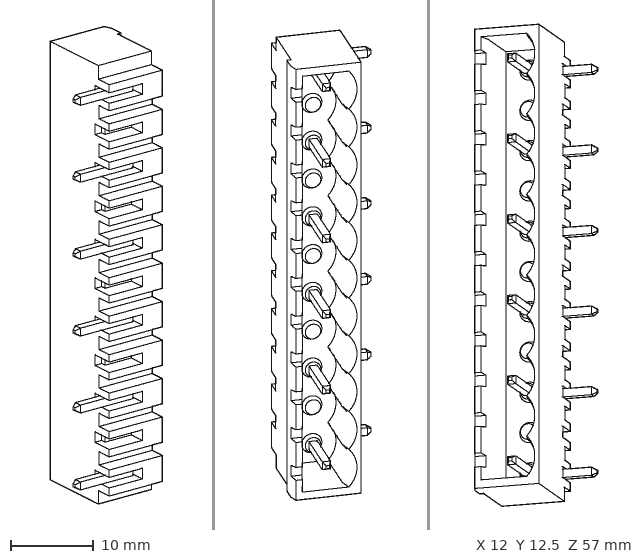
import cadquery as cq


length = 57.0
pole_count = 11
pitch = 5.0
first_pole_z = (length - (pole_count - 1) * pitch) / 2
poles = [first_pole_z + i * pitch for i in range(pole_count)]
pin_poles = poles[::2]
mid_poles = [z + pitch / 2 for z in poles[:-1]]

housing_depth = 12.0
housing_height = 8.0
end_wall = first_pole_z - pitch / 2

ledge_height = 0.5
ledge_depth = 2.9
ledge_lead_height = 0.15
ledge_lead_depth = 1.1

cavity_depth = 8.25
cavity_top = 6.95
lead_in_depth = 1.55
lead_in_rise = 0.4
cusp_y = 1.55
valley_y = 0.5

notch_depth = 1.0
notch_mouth_width = 1.7
notch_back_width = 1.4

pole_y = 3.95
collar_base_radius = 1.25
collar_top_radius = 0.95
collar_height = 0.55

end_step_x = 9.8
end_step_z = 1.75
tooth_gap_x = 10.0
tooth_gap_width = 1.7

pin_slot_x = 9.1
pin_slot_width = 1.35
pin_slot_height = 4.95
pin_slot_step_height = 1.0

pin_size = 1.0
pin_front_x = 0.9
pin_leg_x = end_step_x
pin_drop = 4.0
tip_length = 0.55
tip_size = 0.4


def block(x_range, y_range, z_range):
    """Box given by its lower and upper limit along each axis."""
    limits = (x_range, y_range, z_range)
    sizes = [upper - lower for lower, upper in limits]
    corner = [lower for lower, upper in limits]
    return cq.Workplane("XY").box(*sizes, centered=False).translate(tuple(corner))


def span(center, width):
    return (center - width / 2, center + width / 2)


def make_housing():
    top = housing_height + ledge_height
    return (
        cq.Workplane("XY")
        .moveTo(0, 0)
        .lineTo(housing_depth, 0)
        .lineTo(housing_depth, housing_height)
        .lineTo(ledge_depth, housing_height)
        .lineTo(ledge_depth, top)
        .lineTo(ledge_lead_depth, top)
        .lineTo(0, housing_height + ledge_lead_height)
        .close()
        .extrude(length)
    )


def scalloped_outline(x, rise):
    """Closed cavity section at depth x, its scalloped floor raised by rise."""
    outline = (
        cq.Workplane("YZ", origin=(x, 0, 0))
        .moveTo(cavity_top, length - end_wall)
        .lineTo(cavity_top, end_wall)
        .lineTo(cusp_y + rise, end_wall)
    )
    for z in poles:
        outline = outline.threePointArc((valley_y + rise, z), (cusp_y + rise, z + pitch / 2))
    return outline.close()


def make_cavity():
    """Scalloped cavity with a sloped lead-in on its floor and top wall."""
    mouth = scalloped_outline(0, 0).wires().val()
    throat = scalloped_outline(lead_in_depth, lead_in_rise)
    floor_lead_in = cq.Workplane(cq.Solid.makeLoft([mouth, throat.wires().val()], True))
    top_lead_in = (
        cq.Workplane("XY", origin=(0, 0, end_wall))
        .moveTo(0, cavity_top)
        .lineTo(lead_in_depth, cavity_top)
        .lineTo(0, cavity_top + lead_in_rise)
        .close()
        .extrude(length - 2 * end_wall)
    )
    straight = throat.extrude(cavity_depth - lead_in_depth)
    return straight.union(floor_lead_in).union(top_lead_in)


def make_coding_notch(z):
    """Notch through the top wall, narrowing towards its back."""
    return (
        cq.Workplane("XZ", origin=(0, cavity_top, z))
        .moveTo(0, -notch_mouth_width / 2)
        .lineTo(notch_depth, -notch_back_width / 2)
        .lineTo(notch_depth, notch_back_width / 2)
        .lineTo(0, notch_mouth_width / 2)
        .close()
        .extrude(-(housing_height + ledge_height - cavity_top))
    )


def make_collar(z):
    collar = cq.Solid.makeCone(
        collar_base_radius,
        collar_top_radius,
        collar_height,
        pnt=cq.Vector(cavity_depth, pole_y, z),
        dir=cq.Vector(-1, 0, 0),
    )
    return cq.Workplane(collar)


def make_pin_slot(z):
    z_range = span(z, pin_slot_width)
    deep = block((end_step_x, housing_depth), (0, pin_slot_height), z_range)
    step = block((pin_slot_x, end_step_x), (0, pin_slot_step_height), z_range)
    return deep.union(step)


def make_bar(start, direction, bar_length):
    """Square bar whose far end narrows to a blunt tip."""
    plane = cq.Plane(origin=start, xDir=(0, 0, 1), normal=direction)
    shank_length = bar_length - tip_length
    shank = cq.Workplane(plane).rect(pin_size, pin_size).extrude(shank_length)
    tip = (
        cq.Workplane(plane)
        .workplane(offset=shank_length)
        .rect(pin_size, pin_size)
        .workplane(offset=tip_length)
        .rect(tip_size, tip_size)
        .loft()
    )
    return shank.union(tip)


def make_pin(z):
    """Right-angle pin: contact towards -X, solder leg towards -Y."""
    leg_center_x = pin_leg_x + pin_size / 2
    rear_x = pin_leg_x + pin_size
    top_y = pole_y + pin_size / 2
    contact = make_bar((rear_x, pole_y, z), (-1, 0, 0), rear_x - pin_front_x)
    leg = make_bar((leg_center_x, top_y, z), (0, -1, 0), top_y + pin_drop)
    return contact.union(leg)


result = make_housing().cut(make_cavity())

full_height = (0, housing_height)
for end_range in ((0, end_step_z), (length - end_step_z, length)):
    result = result.cut(block((end_step_x, housing_depth), full_height, end_range))

for z in mid_poles:
    gap = block((tooth_gap_x, housing_depth), full_height, span(z, tooth_gap_width))
    result = result.cut(gap)

for z in poles:
    result = result.cut(make_coding_notch(z)).cut(make_pin_slot(z)).union(make_collar(z))

for z in pin_poles:
    result = result.union(make_pin(z))